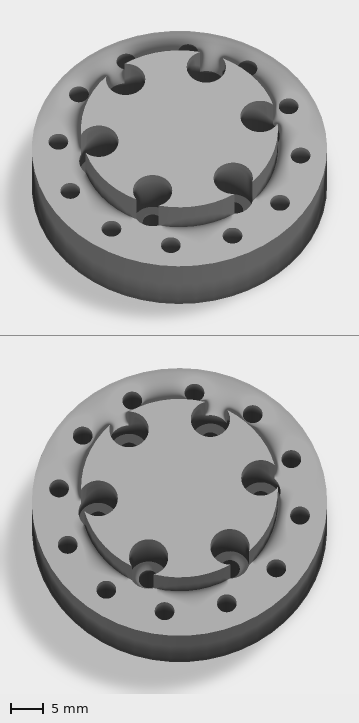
import cadquery as cq

flange_diameter = 45.0
boss_diameter = 30.0
flange_height = 9.5
boss_height = 5.0
total_height = flange_height + boss_height

hole_diameter = 3.0
outer_hole_count = 12
outer_hole_circle = 37.0
inner_hole_count = 6
inner_hole_circle = 25.0
inner_start_angle = 45.0

counterbore_diameter = 6.0
counterbore_depth = 8.0


def cylinders_on_circle(circle_diameter, start_angle, count, diameter, bottom, top):
    """Equal vertical cylinders spaced evenly around the part axis."""
    return (
        cq.Workplane("XY")
        .workplane(offset=bottom)
        .polarArray(circle_diameter / 2, start_angle, 360, count)
        .circle(diameter / 2)
        .extrude(top - bottom)
    )


flange = cq.Workplane("XY").circle(flange_diameter / 2).extrude(flange_height)
boss = cq.Workplane("XY").circle(boss_diameter / 2).extrude(total_height)
body = flange.union(boss)

outer_holes = cylinders_on_circle(
    outer_hole_circle, 0, outer_hole_count, hole_diameter, 0, flange_height
)

inner_holes = cylinders_on_circle(
    inner_hole_circle, inner_start_angle, inner_hole_count, hole_diameter, 0, total_height
)
counterbores = cylinders_on_circle(
    inner_hole_circle,
    inner_start_angle,
    inner_hole_count,
    counterbore_diameter,
    total_height - counterbore_depth,
    total_height,
)

result = body.cut(outer_holes).cut(inner_holes).cut(counterbores)